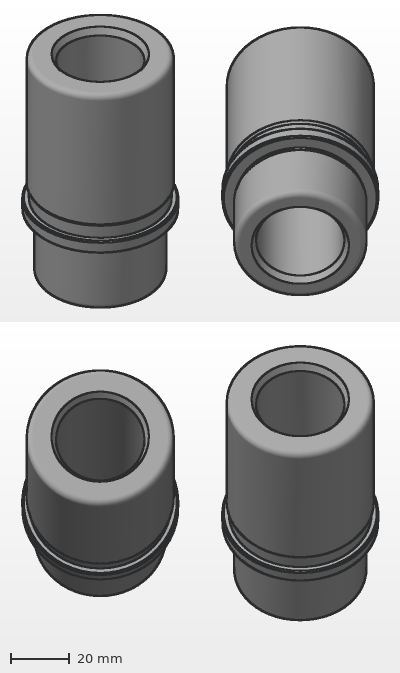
import cadquery as cq

height = 90.0
collar_bottom = 26.0
collar_height = 5.0
neck_height = 4.95
collar_top = collar_bottom + collar_height
body_bottom = collar_top + neck_height

body_diameter = 50.0
neck_diameter = 48.6
collar_diameter = 53.0
spigot_diameter = 45.0
bore_diameter = 30.0

outer_round = 2.1
collar_chamfer = 0.5
body_chamfer_height = 1.1
body_chamfer_width = (body_diameter - neck_diameter) / 2
bore_chamfer_width = 1.5
bore_chamfer_depth = 2.6

undercut_height = 2.1
undercut_depth = 0.8
undercut_end_depth = 0.6
undercut_deepest_drop = 0.6


def cylinder(diameter, bottom, top):
    """Vertical cylinder between two levels."""
    return cq.Workplane("XY").workplane(offset=bottom).circle(diameter / 2).extrude(top - bottom)


def make_spigot():
    """Lower cylinder with a rounded end and a hollow undercut below the collar."""
    spigot_radius = spigot_diameter / 2
    undercut_bottom = collar_bottom - undercut_height
    deepest_point = (spigot_radius - undercut_depth, collar_bottom - undercut_deepest_drop)
    profile = (
        cq.Workplane("XZ")
        .lineTo(spigot_radius, 0)
        .lineTo(spigot_radius, undercut_bottom)
        .threePointArc(deepest_point, (spigot_radius - undercut_end_depth, collar_bottom))
        .lineTo(0, collar_bottom)
        .close()
    )
    return profile.revolve(360, (0, 0), (0, 1)).faces("<Z").edges().fillet(outer_round)


def make_body():
    """Upper cylinder with a rounded top and a chamfer above the neck."""
    body = cylinder(body_diameter, body_bottom, height)
    body = body.faces(">Z").edges().fillet(outer_round)
    chamfer = (
        cq.Workplane("XY")
        .workplane(offset=body_bottom)
        .circle(neck_diameter / 2)
        .workplane(offset=body_chamfer_height)
        .circle(neck_diameter / 2 + body_chamfer_width)
        .loft(ruled=True)
    )
    chamfer_zone = cylinder(body_diameter, body_bottom, body_bottom + body_chamfer_height)
    return body.cut(chamfer_zone).union(chamfer)


def make_bore():
    """Through bore widening to a steep chamfer at each end."""
    bore_radius = bore_diameter / 2
    mouth_radius = bore_radius + bore_chamfer_width
    profile = (
        cq.Workplane("XZ")
        .lineTo(mouth_radius, 0)
        .lineTo(bore_radius, bore_chamfer_depth)
        .lineTo(bore_radius, height - bore_chamfer_depth)
        .lineTo(mouth_radius, height)
        .lineTo(0, height)
        .close()
    )
    return profile.revolve(360, (0, 0), (0, 1))


collar = cylinder(collar_diameter, collar_bottom, collar_top).edges("%CIRCLE").chamfer(collar_chamfer)
neck = cylinder(neck_diameter, collar_top, body_bottom)
result = make_spigot().union(collar).union(neck).union(make_body()).cut(make_bore())